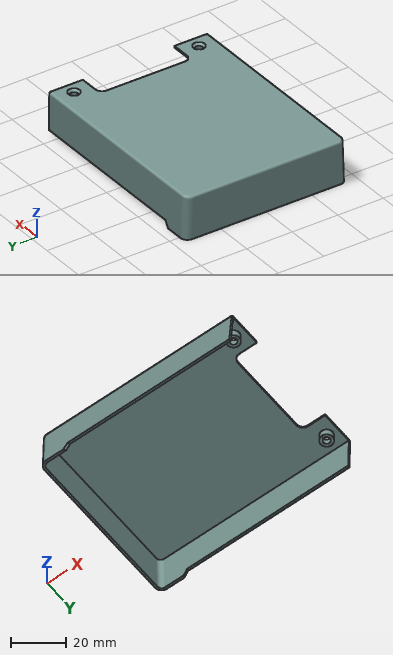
import cadquery as cq

length = 87.4
width = 71.1
height = 18.3

wall = 1.0
plate_thickness = 0.8
side_lean = 0.6
corner_radius = 3.0
rim_radius = 1.0
inner_corner_radius = corner_radius - wall

step_height = 2.6
step_start = 11.0
step_end = 12.8
step_skew = 0.6
end_lean = 0.7

notch_depth = 10.8
notch_width = 40.2
notch_radius = 3.0

hole_diameter = 3.0
sink_diameter = 5.0
sink_depth = (sink_diameter - hole_diameter) / 2
boss_diameter = 5.4
boss_height = 3.9
hole_x = length - 5.0
hole_spacing = 54.9
hole_points = [(hole_x, side * hole_spacing / 2) for side in (-1, 1)]


def drafted_block(start_x, bottom_width, block_height, corner):
    """Block with leaning sides, rounded at the two closed-end corners."""
    lean = side_lean * block_height / height
    half = bottom_width / 2
    section = [(-half, 0), (half, 0), (half - lean, block_height), (lean - half, block_height)]
    block = (
        cq.Workplane("YZ").workplane(offset=start_x)
        .polyline(section).close().extrude(length - start_x)
    )
    return block.faces("<X").edges("not #Z").edges("not |Y").fillet(corner)


def outer_body():
    body = drafted_block(0, width, height, corner_radius)
    return body.faces(">Z").edges("not >X").fillet(rim_radius)


def cavity():
    """Interior, open at the bottom and at the +X end."""
    return drafted_block(wall, width - 2 * wall, height - plate_thickness, inner_corner_radius)


def side_cut_outline(shift):
    """Lower edge and leaning open end of a side wall, with its step moved along X."""
    return [
        (step_start + shift, 0), (step_end + shift, step_height), (length - end_lean, step_height),
        (length, height), (length + wall, height), (length + wall, 0),
    ]


def side_wall_cut():
    """Cut through the -Y wall; the step face turns slightly outward to -Y."""
    cut_thickness = 1.5 * wall
    return (
        cq.Workplane("XZ", origin=(0, -width / 2, 0)).polyline(side_cut_outline(0)).close()
        .workplane(offset=-cut_thickness).polyline(side_cut_outline(step_skew)).close()
        .loft(ruled=True)
    )


def notch():
    block = (
        cq.Workplane("XY").box(2 * notch_depth, notch_width, height, centered=(True, True, False))
        .translate((length, 0, 0))
    )
    return block.edges("|Z and <X").fillet(notch_radius)


def bosses():
    return (
        cq.Workplane("XY").workplane(offset=height - boss_height)
        .pushPoints(hole_points).circle(boss_diameter / 2).extrude(boss_height)
    )


def screw_holes():
    shafts = cq.Workplane("XY").pushPoints(hole_points).circle(hole_diameter / 2).extrude(height)
    sinks = (
        cq.Workplane("XY").workplane(offset=height - sink_depth)
        .pushPoints(hole_points).circle(hole_diameter / 2).extrude(sink_depth, taper=-45)
    )
    return shafts.union(sinks)


side_cut = side_wall_cut()
shell = outer_body().cut(cavity()).cut(side_cut).cut(side_cut.mirror("XZ")).cut(notch())
result = shell.union(bosses()).cut(screw_holes())